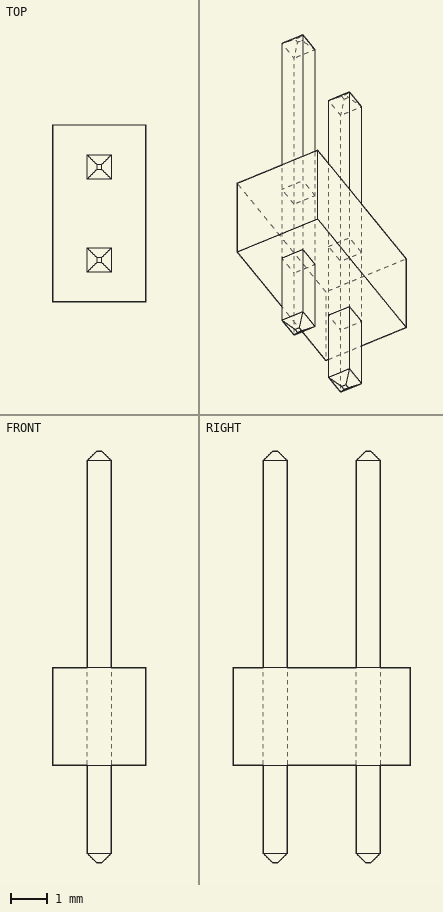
import cadquery as cq

pin_count = 2
pin_pitch = 2.54
pin_width = 0.66
pin_length = 11.24
tip_height = 0.26
tip_flat = 0.13

housing_width = pin_pitch
housing_length = 4.83
housing_height = 2.66
tail_length = 2.66

pin_bottom = -tail_length
pin_top = pin_bottom + pin_length
pin_positions = [(i - (pin_count - 1) / 2) * pin_pitch for i in range(pin_count)]


def make_tip(base_z, end_z, y):
    """Pyramid frustum narrowing from the pin section at base_z to a small flat at end_z."""
    return (
        cq.Workplane("XY", origin=(0, y, base_z))
        .rect(pin_width, pin_width)
        .workplane(offset=end_z - base_z)
        .rect(tip_flat, tip_flat)
        .loft(ruled=True)
    )


def make_pin(y):
    """Square pin with a tapered tip at each end."""
    shank_bottom = pin_bottom + tip_height
    shank_top = pin_top - tip_height
    shank = (
        cq.Workplane("XY", origin=(0, y, shank_bottom))
        .rect(pin_width, pin_width)
        .extrude(shank_top - shank_bottom)
    )
    return shank.union(make_tip(shank_top, pin_top, y)).union(make_tip(shank_bottom, pin_bottom, y))


def make_housing():
    """Rectangular block with a square through hole for each pin."""
    block = cq.Workplane("XY").rect(housing_width, housing_length).extrude(housing_height)
    pin_holes = (
        cq.Workplane("XY")
        .pushPoints([(0, y) for y in pin_positions])
        .rect(pin_width, pin_width)
        .extrude(housing_height)
    )
    return block.cut(pin_holes)


housing = make_housing()
pins = [make_pin(y) for y in pin_positions]

result = cq.Compound.makeCompound([housing.val(), *[pin.val() for pin in pins]])